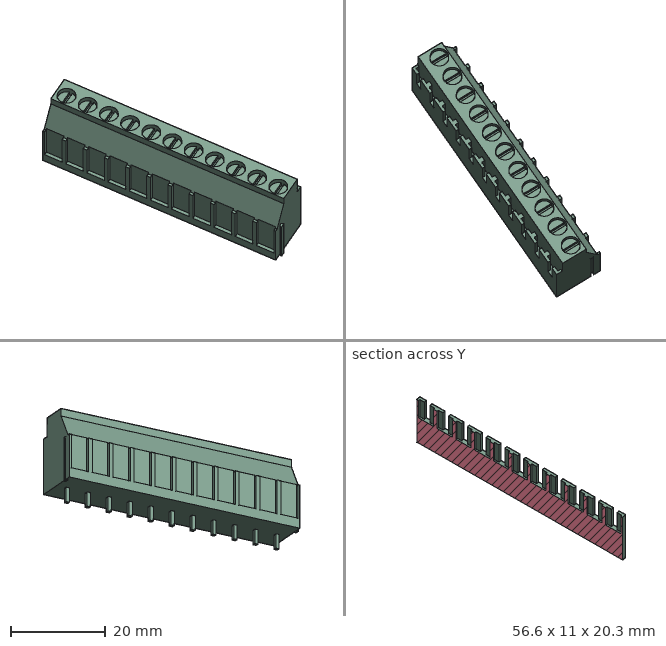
import cadquery as cq


pole_count = 11
pitch = 5.1
body_length = pole_count * pitch
pole_centers = [(i + 0.5) * pitch for i in range(pole_count)]

body_depth = 11.0
body_height = 17.0
front_ledge_depth = 0.6
front_ledge_height = 9.9
slope_top_height = 15.25
top_front_y = 3.55
back_ledge_height = 12.7
back_ledge_depth = 1.4
top_back_setback = 1.5

recess_width = 4.2
recess_depth = 0.8
recess_bottom = 2.2
recess_top = 10.45

well_diameter = 3.95
well_depth = 1.15
well_y = 5.8
driver_slot_width = 0.7
driver_slot_depth = 0.85

marker_wide = 4.0
marker_narrow = 1.5
marker_lip = 0.7
marker_depth = 5.1

rib_projection = 0.55
rib_flare_end = 0.4
rib_neck_width = 0.6
rib_head_width = 1.1
rib_y = 2.1

pin_thickness = 0.8
pin_depth = 0.85
pin_length = 3.3
pin_y = 5.55


def housing():
    """Extrude the stepped cross-section along the whole row."""
    outline = [
        (0, 0),
        (0, front_ledge_height),
        (front_ledge_depth, front_ledge_height),
        (top_front_y, slope_top_height),
        (top_front_y, body_height),
        (body_depth - top_back_setback, body_height),
        (body_depth - back_ledge_depth, back_ledge_height),
        (body_depth, back_ledge_height),
        (body_depth, 0),
    ]
    return cq.Workplane("YZ").polyline(outline).close().extrude(body_length)


def interlock_bar(root_x):
    """Flared bar projecting in +X from root_x, as tall as the front face."""
    neck = rib_neck_width / 2
    head = rib_head_width / 2
    outline = [
        (root_x, rib_y - neck),
        (root_x + rib_flare_end, rib_y - head),
        (root_x + rib_projection, rib_y - head),
        (root_x + rib_projection, rib_y + head),
        (root_x + rib_flare_end, rib_y + head),
        (root_x, rib_y + neck),
    ]
    return cq.Workplane("XY").polyline(outline).close().extrude(front_ledge_height)


def pole_block(x, y, z, width, depth, height):
    """Box centred on x, reaching back from y and up from z."""
    block = cq.Workplane("XY").box(width, depth, height, centered=(True, False, False))
    return block.translate((x, y, z))


def front_recess(x):
    return pole_block(x, 0, recess_bottom, recess_width, recess_depth, recess_top - recess_bottom)


def screw_well(x):
    """Round well with a screwdriver slot across the screw head at its floor."""
    floor = cq.Workplane("XY", origin=(x, well_y, body_height - well_depth))
    well = floor.circle(well_diameter / 2).extrude(well_depth)
    screw_head = floor.circle(well_diameter / 2).extrude(-driver_slot_depth)
    slot_bar = floor.rect(driver_slot_width, well_diameter).extrude(-driver_slot_depth)
    return well.union(slot_bar.intersect(screw_head))


def marker_pocket(x):
    """Blind T pocket: narrow mouth through the back face, wide part behind the lip."""
    wall_y = body_depth - back_ledge_depth
    floor = back_ledge_height - marker_depth
    wide_part = pole_block(x, wall_y, floor, marker_wide, back_ledge_depth - marker_lip, marker_depth)
    mouth = pole_block(x, wall_y, floor, marker_narrow, back_ledge_depth, marker_depth)
    return wide_part.union(mouth)


def solder_pin(x):
    return cq.Workplane("XY", origin=(x, pin_y, 0)).rect(pin_thickness, pin_depth).extrude(-pin_length)


result = housing().union(interlock_bar(body_length)).cut(interlock_bar(0))
for center in pole_centers:
    result = result.cut(front_recess(center))
    result = result.cut(screw_well(center))
    result = result.cut(marker_pocket(center))
    result = result.union(solder_pin(center))